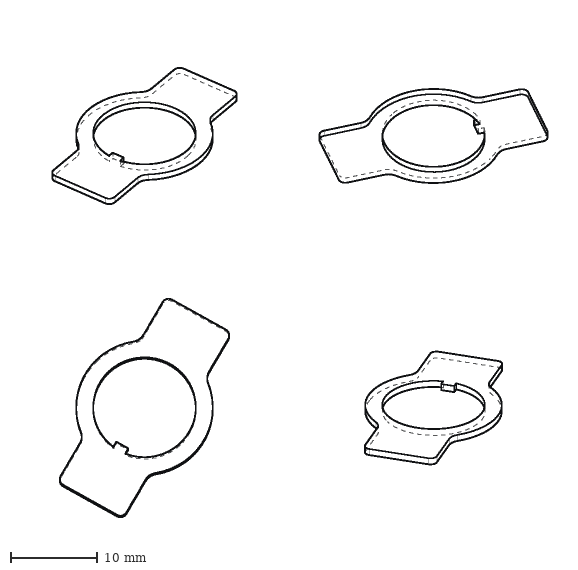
import cadquery as cq

length = 25.4
thickness = 0.81
ring_diameter = 15.85
bore_diameter = 11.89
tab_width = 8.76
tab_corner_radius = 0.8
neck_fillet_radius = 1.6
key_width = 1.6
key_tip_distance = 5.18

ring_radius = ring_diameter / 2
bore_radius = bore_diameter / 2


def make_body():
    """Disc with a rounded tab at each end, blended at the necks."""
    disc = cq.Workplane("XY").circle(ring_radius).extrude(thickness)
    tabs = (
        cq.Workplane("XY")
        .rect(tab_width, length)
        .extrude(thickness)
        .edges("|Z")
        .fillet(tab_corner_radius)
    )
    body = disc.union(tabs)

    neck_x = tab_width / 2
    neck_y = (ring_radius**2 - neck_x**2) ** 0.5
    for x in (-neck_x, neck_x):
        for y in (-neck_y, neck_y):
            neck = cq.selectors.NearestToPointSelector((x, y, thickness / 2))
            body = body.edges("|Z").edges(neck).fillet(neck_fillet_radius)
    return body


def make_bore():
    """Through bore, less the locating key on its -Y side."""
    bore = cq.Workplane("XY").circle(bore_radius).extrude(thickness)
    key_length = ring_radius - key_tip_distance
    key = (
        cq.Workplane("XY")
        .center(0, -key_tip_distance - key_length / 2)
        .rect(key_width, key_length)
        .extrude(thickness)
    )
    return bore.cut(key)


result = make_body().cut(make_bore())